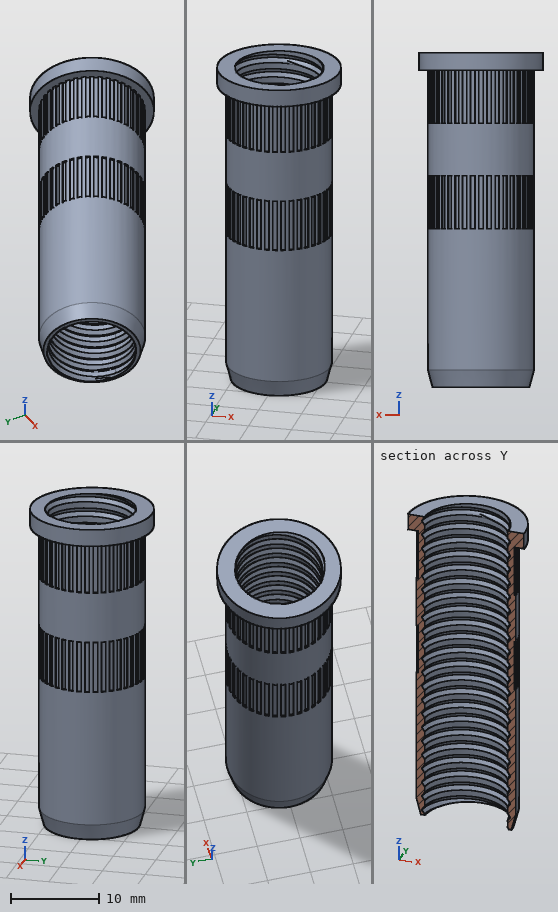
import cadquery as cq
import math

total_length = 38.0
flange_diameter = 14.1
flange_thickness = 2.0
body_diameter = 12.1
tip_length = 2.0
tip_angle = 15.0

bore_diameter = 10.0
bore_clearance = 1.0
thread_pitch = 1.75
thread_depth = 0.35
thread_mouth_width = 1.0
thread_exit_angle = 300.0
thread_start_angle = 103.0
thread_overlap = 0.2

groove_count = 40
groove_width = 0.5
groove_depth = 0.2
band_length = 6.0
band_gap = 6.0

body_radius = body_diameter / 2
tip_radius = body_radius - tip_length * math.tan(math.radians(tip_angle))
bore_radius = bore_diameter / 2
root_radius = bore_radius + thread_depth
flange_bottom = total_length - flange_thickness
band_bottoms = [
    flange_bottom - band_length,
    flange_bottom - 2 * band_length - band_gap,
]

liner_radius = (root_radius + tip_radius) / 2
joint_tolerance = 0.01


def make_cylinder(radius, end_clearance=0.0):
    """Full-height cylinder on the Z axis that stands out by end_clearance at both ends."""
    return (
        cq.Workplane("XY")
        .workplane(offset=-end_clearance)
        .circle(radius)
        .extrude(total_length + 2 * end_clearance)
    )


def make_body():
    """Solid flanged pin with a tapered lower tip, turned around Z."""
    flange_radius = flange_diameter / 2
    return (
        cq.Workplane("XZ")
        .lineTo(-tip_radius, 0)
        .lineTo(-body_radius, tip_length)
        .lineTo(-body_radius, flange_bottom)
        .lineTo(-flange_radius, flange_bottom)
        .lineTo(-flange_radius, total_length)
        .lineTo(0, total_length)
        .close()
        .revolve(360, (0, 0, 0), (0, 1, 0))
    )


def make_knurl_cutter(bottom):
    """Ring of shallow axial grooves that starts at height bottom."""
    return (
        cq.Workplane("XY")
        .workplane(offset=bottom)
        .polarArray(body_radius, 0, 360, groove_count)
        .rect(2 * groove_depth, groove_width)
        .extrude(band_length)
    )


def make_thread_cutter():
    """Right-handed helical V groove that runs out through both end faces."""
    inner_radius = bore_radius - thread_overlap
    inner_half_width = thread_mouth_width / 2 * (thread_depth + thread_overlap) / thread_depth
    corners = [
        (inner_radius, -inner_half_width),
        (root_radius, 0),
        (inner_radius, inner_half_width),
    ]

    turns_inside = math.ceil(total_length / thread_pitch) + 1
    turns_to_top = turns_inside + (thread_exit_angle - thread_start_angle) / 360
    start_height = total_length - turns_to_top * thread_pitch
    helix_length = (turns_to_top + 1) * thread_pitch
    helices = [
        cq.Wire.makeHelix(thread_pitch, helix_length, radius, cq.Vector(0, 0, start_height + height))
        for radius, height in corners
    ]

    side_faces = [
        cq.Face.makeRuledSurface(helices[i - 1], helices[i])
        for i in range(len(helices))
    ]
    end_outlines = [
        cq.Wire.makePolygon([helix.positionAt(end) for helix in helices], close=True)
        for end in (0, 1)
    ]
    end_faces = [cq.Face.makeFromWires(outline) for outline in end_outlines]
    groove = cq.Solid.makeSolid(cq.Shell.makeShell(side_faces + end_faces))
    return cq.Workplane(obj=groove).rotate((0, 0, 0), (0, 0, 1), thread_start_angle)


def make_jacket():
    """Outer part of the sleeve: flange, knurled body and tip."""
    jacket = make_body()
    for band_bottom in band_bottoms:
        jacket = jacket.cut(make_knurl_cutter(band_bottom))
    return jacket.cut(make_cylinder(liner_radius))


def make_liner():
    """Inner part of the sleeve; the groove is cut first, then the bore opens it up."""
    grooved_core = make_cylinder(liner_radius).cut(make_thread_cutter())
    return grooved_core.cut(make_cylinder(bore_radius, bore_clearance))


def is_joint(face):
    """True for the cylindrical wall where the jacket and the liner touch."""
    width = face.BoundingBox().xlen
    return face.geomType() == "CYLINDER" and abs(width - 2 * liner_radius) < joint_tolerance


def make_sleeve():
    """One solid from all faces of the jacket and the liner except their shared wall."""
    faces = make_jacket().faces().vals() + make_liner().faces().vals()
    outer_faces = [face for face in faces if not is_joint(face)]
    sleeve = cq.Solid.makeSolid(cq.Shell.makeShell(outer_faces))
    return cq.Workplane(obj=sleeve).clean()


result = make_sleeve()